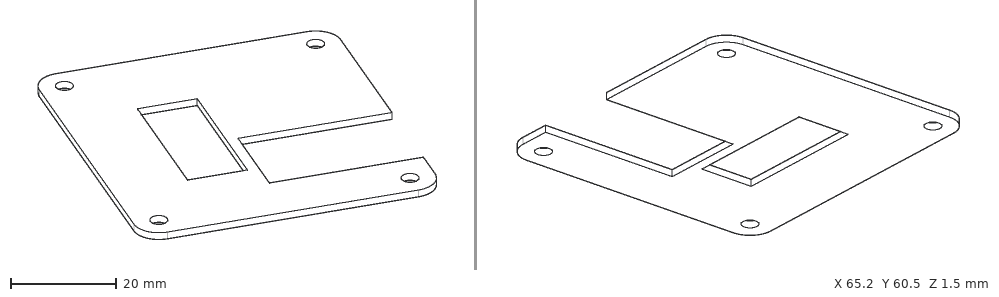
import cadquery as cq

length = 65.25
width = 60.5
thickness = 1.5
corner_radius = 5.0

hole_diameter = 3.4
hole_spacing_x = length - 2 * corner_radius
hole_spacing_y = width - 2 * corner_radius

window_length = 29.3
window_width = 12.0
window_center_y = -9.0

notch_width = 18.3
notch_depth = 30.9
notch_center_x = 11.6
notch_center_y = (width - notch_depth) / 2

plate = (
    cq.Workplane("XY")
    .rect(length, width)
    .extrude(thickness)
    .edges("|Z")
    .fillet(corner_radius)
)

holes = (
    cq.Workplane("XY")
    .rect(hole_spacing_x, hole_spacing_y, forConstruction=True)
    .vertices()
    .circle(hole_diameter / 2)
    .extrude(thickness)
)

window = (
    cq.Workplane("XY")
    .center(0, window_center_y)
    .rect(window_length, window_width)
    .extrude(thickness)
)

notch = (
    cq.Workplane("XY")
    .center(notch_center_x, notch_center_y)
    .rect(notch_width, notch_depth)
    .extrude(thickness)
)

result = plate.cut(holes).cut(window).cut(notch)